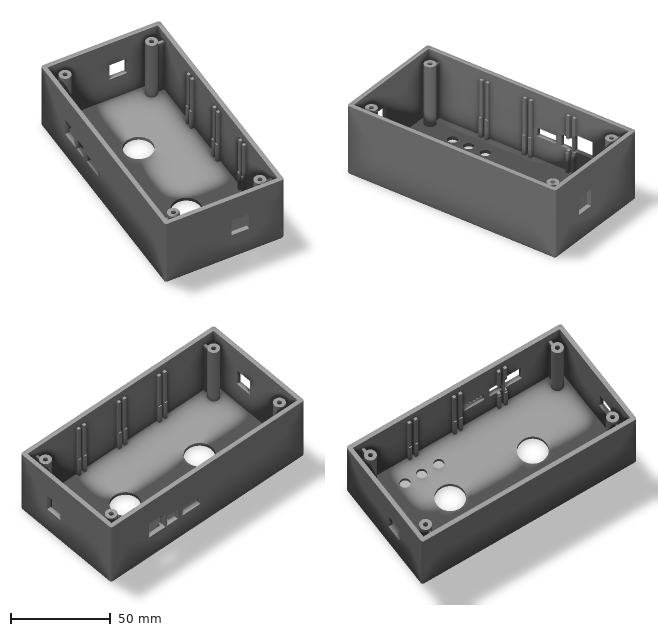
import cadquery as cq

LENGTH = 130.0
WIDTH = 68.0
HEIGHT = 41.0
WALL = 2.5
FLOOR = 2.0
CORNER_RADIUS = 1.3
BOTTOM_RADIUS = 1.0

POST_X = 56.5
POST_Y = 24.7
POST_DIAMETER = 6.5
POST_HOLE_DIAMETER = 2.6
POST_TOP = HEIGHT - 3.0
WEB_THICKNESS = 1.5
WEB_TOP = HEIGHT - 5.7

GUIDE_SPACING = 27.0
RAIL_WIDTH = 1.7
RAIL_GAP = 2.1
RAIL_DEPTH = 1.5
RAIL_TOP = HEIGHT - 5.0
RAIL_FOOT_DEPTH = 2.1
RAIL_FOOT_HEIGHT = 12.0

KNOB_HOLE_DIAMETER = 16.0
KNOB_HOLE_X = 25.0
BUTTON_HOLE_DIAMETER = 5.6
BUTTON_HOLE_XS = (18.5, 28.9, 38.9)
BUTTON_HOLE_Y = -19.8

FRONT_WINDOWS = ((-39.5, 11.0, 10.0), (-27.4, 7.3, 7.0), (-17.0, 12.0, 5.0))
FRONT_WINDOW_SILL = 15.2

END_WINDOW_SIDE = 10.0
END_WINDOW_Y = 9.0
END_WINDOW_SILL = 15.9

INNER_LENGTH = LENGTH - 2 * WALL
INNER_WIDTH = WIDTH - 2 * WALL
INNER_WALL_Y = INNER_WIDTH / 2


def upright_box(x_size, y_size, z_bottom, z_top, x=0, y=0):
    """Box centred on (x, y) that runs from z_bottom to z_top."""
    return (
        cq.Workplane("XY", origin=(x, y, z_bottom))
        .rect(x_size, y_size)
        .extrude(z_top - z_bottom)
    )


def shell():
    outer = (
        upright_box(LENGTH, WIDTH, 0, HEIGHT)
        .edges("|Z")
        .fillet(CORNER_RADIUS)
        .faces("<Z")
        .edges()
        .fillet(BOTTOM_RADIUS)
    )
    return outer.cut(upright_box(INNER_LENGTH, INNER_WIDTH, FLOOR, HEIGHT))


def wall_block(x, side, thickness, depth, z_top):
    """Block rising from the floor against the long wall on the given side."""
    buried = WALL / 2
    y_middle = side * (INNER_WALL_Y + (buried - depth) / 2)
    return upright_box(thickness, depth + buried, FLOOR / 2, z_top, x, y_middle)


def screw_post(x, side):
    y = side * POST_Y
    post = (
        cq.Workplane("XY", origin=(x, y, FLOOR / 2))
        .circle(POST_DIAMETER / 2)
        .extrude(POST_TOP - FLOOR / 2)
    )
    web = wall_block(x, side, WEB_THICKNESS, INNER_WALL_Y - POST_Y, WEB_TOP)
    hole = (
        cq.Workplane("XY", origin=(x, y, FLOOR))
        .circle(POST_HOLE_DIAMETER / 2)
        .extrude(POST_TOP - FLOOR)
    )
    return post.union(web).cut(hole)


def guide_rail(x, side):
    rail = wall_block(x, side, RAIL_WIDTH, RAIL_DEPTH, RAIL_TOP)
    foot = wall_block(x, side, RAIL_WIDTH, RAIL_FOOT_DEPTH, FLOOR + RAIL_FOOT_HEIGHT)
    return rail.union(foot)


def floor_holes(points, diameter):
    return cq.Workplane("XY").pushPoints(points).circle(diameter / 2).extrude(FLOOR)


def front_window(left, width, height):
    depth = WALL + RAIL_FOOT_DEPTH
    return upright_box(
        width,
        depth,
        FRONT_WINDOW_SILL,
        FRONT_WINDOW_SILL + height,
        left + width / 2,
        -(WIDTH - depth) / 2,
    )


result = shell()

rail_offset = (RAIL_GAP + RAIL_WIDTH) / 2
for side in (-1, 1):
    for post_x in (-POST_X, POST_X):
        result = result.union(screw_post(post_x, side))
    for guide_x in (-GUIDE_SPACING, 0, GUIDE_SPACING):
        for rail_x in (guide_x - rail_offset, guide_x + rail_offset):
            result = result.union(guide_rail(rail_x, side))

knob_points = [(-KNOB_HOLE_X, 0), (KNOB_HOLE_X, 0)]
button_points = [(x, BUTTON_HOLE_Y) for x in BUTTON_HOLE_XS]
result = result.cut(floor_holes(knob_points, KNOB_HOLE_DIAMETER))
result = result.cut(floor_holes(button_points, BUTTON_HOLE_DIAMETER))

for left, width, height in FRONT_WINDOWS:
    result = result.cut(front_window(left, width, height))

end_window_top = END_WINDOW_SILL + END_WINDOW_SIDE
result = result.cut(
    upright_box(LENGTH, END_WINDOW_SIDE, END_WINDOW_SILL, end_window_top, 0, END_WINDOW_Y)
)